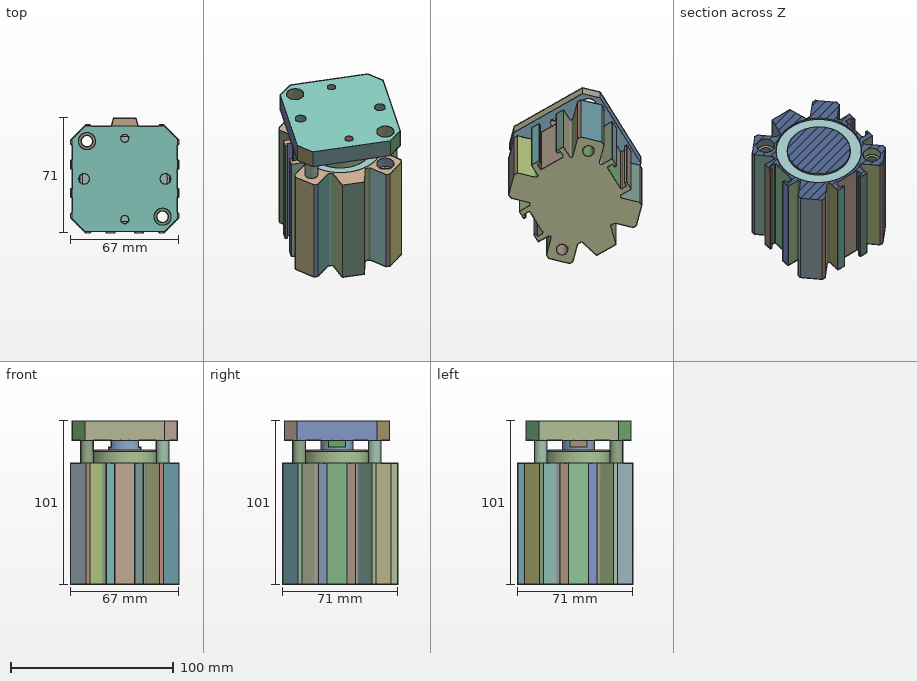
import cadquery as cq
import math


TOLERANCE = 0.01

TOTAL_HEIGHT = 101.0
PLATE_THICKNESS = 12.0
HOUSING_HEIGHT = 74.9
COLLAR_HEIGHT = 8.1
PLATE_BOTTOM = TOTAL_HEIGHT - PLATE_THICKNESS
COLLAR_TOP = HOUSING_HEIGHT + COLLAR_HEIGHT

HALF_WIDTH = 67.0 / 2
CORNER_CUT = 9.5
CORNER_START = HALF_WIDTH - CORNER_CUT
CORNER_LAND = 2.4
GROOVE_EDGE = CORNER_START - CORNER_LAND
GROOVE_WALL_OFFSET = HALF_WIDTH - GROOVE_EDGE
GROOVE_FLOOR = 25.1
GROOVE_FLOOR_EDGE = GROOVE_FLOOR - GROOVE_WALL_OFFSET
GROOVE_WALL_FILLET = 1.6
GROOVE_INNER_FILLET = 0.8

RIB_OUT = 33.4
RIB_OUTER_EDGE = 11.5
RIB_CHAMFER = 0.2
SLOT_HALF_OPENING = 6.1
SLOT_HALF_WIDTH = 8.3
SLOT_FLOOR = 27.9
SLOT_CORNER_CUT = 0.6
LIP_THICKNESS = 1.5

RAIL_OUT = HALF_WIDTH + 4.0
RAIL_HALF_TOP = 7.0
RAIL_FLANK_SLOPE = 0.27

RECESS_DIAMETER = 52.5
RECESS_DEPTH = 2.0
COLLAR_DIAMETER = 39.0
COLLAR_CHAMFER = 1.0

CORNER_CIRCLE_DIAMETER = 66.0
CORNER_OFFSET = CORNER_CIRCLE_DIAMETER / 2 * math.sqrt(0.5)
BOLT_CORNERS = [(-CORNER_OFFSET, CORNER_OFFSET), (CORNER_OFFSET, -CORNER_OFFSET)]
GUIDE_CORNERS = [(-CORNER_OFFSET, -CORNER_OFFSET), (CORNER_OFFSET, CORNER_OFFSET)]
BOLT_HEAD_DIAMETER = 10.5
BOLT_HEAD_DEPTH = 6.7
BOLT_DIAMETER = 7.0

PLATE_SIZE = 65.0
PLATE_CHAMFER = 8.0
PLATE_HOLE_OFFSET = 25.0
LARGE_PLATE_HOLE = 6.5
SMALL_PLATE_HOLE = 4.9
GUIDE_DIAMETER = 8.0
PISTON_DIAMETER = 20.0
FLAT_WIDTH = 17.0
FLAT_LENGTH = 4.2


def mirrored(half):
    """Complete a half side, listed from the corner inwards, with its mirror image."""
    return half + [(-along, out) for along, out in reversed(half)]


def corner_and_groove():
    """Corner land and 45 degree groove wall, down to the groove floor."""
    return [
        (CORNER_START, HALF_WIDTH),
        (GROOVE_EDGE, HALF_WIDTH),
        (GROOVE_FLOOR_EDGE, GROOVE_FLOOR),
    ]


def slotted_side():
    rib_shoulder = RIB_OUT - RIB_CHAMFER
    lip_back = RIB_OUT - LIP_THICKNESS
    return mirrored(corner_and_groove() + [
        (RIB_OUTER_EDGE, GROOVE_FLOOR),
        (RIB_OUTER_EDGE, rib_shoulder),
        (RIB_OUTER_EDGE - RIB_CHAMFER, RIB_OUT),
        (SLOT_HALF_OPENING + RIB_CHAMFER, RIB_OUT),
        (SLOT_HALF_OPENING, rib_shoulder),
        (SLOT_HALF_OPENING, lip_back),
        (SLOT_HALF_WIDTH, lip_back),
        (SLOT_HALF_WIDTH, SLOT_FLOOR + SLOT_CORNER_CUT),
        (SLOT_HALF_WIDTH - SLOT_CORNER_CUT, SLOT_FLOOR),
    ])


def rail_side():
    rail_half_foot = RAIL_HALF_TOP + RAIL_FLANK_SLOPE * (RAIL_OUT - GROOVE_FLOOR)
    return mirrored(corner_and_groove() + [
        (rail_half_foot, GROOVE_FLOOR),
        (RAIL_HALF_TOP, RAIL_OUT),
    ])


def turned(points, degrees):
    """Turn a side that faces +Y by an angle about the axis."""
    c = math.cos(math.radians(degrees))
    s = math.sin(math.radians(degrees))
    return [(x * c - y * s, x * s + y * c) for x, y in points]


def is_groove_corner(edge):
    """True for the upright edges that lie on a groove floor."""
    place = edge.Center()
    return abs(max(abs(place.x), abs(place.y)) - GROOVE_FLOOR) < TOLERANCE


def is_wall_corner(edge):
    """True for the groove corners at the foot of the 45 degree wall."""
    place = edge.Center()
    along = min(abs(place.x), abs(place.y))
    return is_groove_corner(edge) and abs(along - GROOVE_FLOOR_EDGE) < TOLERANCE


def is_inner_corner(edge):
    """True for the groove corners at the foot of a rib or of the rail."""
    return is_groove_corner(edge) and not is_wall_corner(edge)


def make_housing():
    outline = rail_side()
    for angle in (90, 180, 270):
        outline += turned(slotted_side(), angle)
    housing = cq.Workplane("XY").polyline(outline).close().extrude(HOUSING_HEIGHT)
    housing = housing.edges("|Z").filter(is_inner_corner).fillet(GROOVE_INNER_FILLET)
    housing = housing.edges("|Z").filter(is_wall_corner).fillet(GROOVE_WALL_FILLET)

    recess_floor = HOUSING_HEIGHT - RECESS_DEPTH
    recess = (
        cq.Workplane("XY", origin=(0, 0, recess_floor))
        .circle(RECESS_DIAMETER / 2)
        .extrude(RECESS_DEPTH)
    )
    collar = (
        cq.Workplane("XY", origin=(0, 0, recess_floor))
        .circle(COLLAR_DIAMETER / 2)
        .extrude(COLLAR_TOP - recess_floor)
        .faces(">Z")
        .chamfer(COLLAR_CHAMFER)
    )
    bolt_holes = (
        cq.Workplane("XY", origin=(0, 0, HOUSING_HEIGHT))
        .pushPoints(BOLT_CORNERS)
        .circle(BOLT_HEAD_DIAMETER / 2)
        .extrude(-BOLT_HEAD_DEPTH)
        .pushPoints(BOLT_CORNERS)
        .circle(BOLT_DIAMETER / 2)
        .extrude(-HOUSING_HEIGHT)
    )
    return housing.cut(recess).union(collar).cut(bolt_holes)


def make_plate():
    x_holes = [(-PLATE_HOLE_OFFSET, 0), (PLATE_HOLE_OFFSET, 0)]
    y_holes = [(0, -PLATE_HOLE_OFFSET), (0, PLATE_HOLE_OFFSET)]
    plate = (
        cq.Workplane("XY", origin=(0, 0, PLATE_BOTTOM))
        .rect(PLATE_SIZE, PLATE_SIZE)
        .extrude(PLATE_THICKNESS)
        .edges("|Z")
        .chamfer(PLATE_CHAMFER)
    )
    for places, diameter in (
        (x_holes, LARGE_PLATE_HOLE),
        (y_holes, SMALL_PLATE_HOLE),
        (BOLT_CORNERS, BOLT_HEAD_DIAMETER),
    ):
        plate = plate.faces(">Z").workplane(origin=(0, 0, TOTAL_HEIGHT)).pushPoints(places).hole(diameter)
    return plate


def make_piston_rod():
    rod = (
        cq.Workplane("XY", origin=(0, 0, COLLAR_TOP))
        .circle(PISTON_DIAMETER / 2)
        .extrude(PLATE_BOTTOM - COLLAR_TOP)
    )
    flat_zone = cq.Workplane("XY", origin=(0, 0, PLATE_BOTTOM - FLAT_LENGTH))
    spanner_flats = (
        flat_zone.circle(PISTON_DIAMETER)
        .extrude(FLAT_LENGTH)
        .cut(flat_zone.rect(FLAT_WIDTH, 2 * PISTON_DIAMETER).extrude(FLAT_LENGTH))
    )
    return rod.cut(spanner_flats)


def make_moving_unit():
    guide_rods = (
        cq.Workplane("XY", origin=(0, 0, HOUSING_HEIGHT))
        .pushPoints(GUIDE_CORNERS)
        .circle(GUIDE_DIAMETER / 2)
        .extrude(PLATE_BOTTOM - HOUSING_HEIGHT)
    )
    return make_plate().union(guide_rods).union(make_piston_rod())


housing = make_housing()
moving_unit = make_moving_unit()

result = cq.Compound.makeCompound([housing.val(), moving_unit.val()])